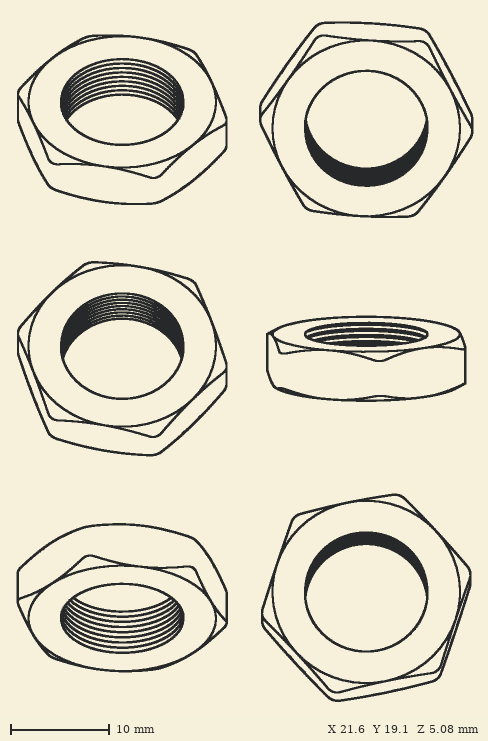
import cadquery as cq
import math

across_flats = 19.05
across_corners = across_flats * 2 / math.sqrt(3)
thickness = 5.08
corner_radius = 1.3
corner_chamfer_angle = 30

bore_radius = 6.22
groove_count = 8
crest_width = 0.05
thread_angle = 60
pitch = thickness / groove_count
groove_depth = (pitch - crest_width) / 2 / math.tan(math.radians(thread_angle / 2))


def hexagonal_body():
    """Hexagonal prism with corners on the X axis and rounded vertical edges."""
    prism = cq.Workplane("XY").polygon(6, across_corners).extrude(thickness)
    return prism.edges("|Z").fillet(corner_radius)


def chamfer_envelope():
    """Disc with conical rims that start at the inscribed circle of each end face."""
    face_radius = across_flats / 2
    rim_radius = across_corners / 2
    rim_drop = (rim_radius - face_radius) * math.tan(math.radians(corner_chamfer_angle))
    profile = [
        (0, 0),
        (face_radius, 0),
        (rim_radius, rim_drop),
        (rim_radius, thickness - rim_drop),
        (face_radius, thickness),
        (0, thickness),
    ]
    return cq.Workplane("XZ").polyline(profile).close().revolve(360, (0, 0), (0, 1))


def threaded_bore():
    """Solid of the bore: V grooves separated by narrow cylindrical crests."""
    profile = [(0, 0), (bore_radius, 0)]
    for groove in range(groove_count):
        bottom = groove * pitch
        profile += [
            (bore_radius, bottom + crest_width / 2),
            (bore_radius + groove_depth, bottom + pitch / 2),
            (bore_radius, bottom + pitch - crest_width / 2),
        ]
    profile += [(bore_radius, thickness), (0, thickness)]
    return cq.Workplane("XZ").polyline(profile).close().revolve(360, (0, 0), (0, 1))


result = hexagonal_body().intersect(chamfer_envelope()).cut(threaded_bore())